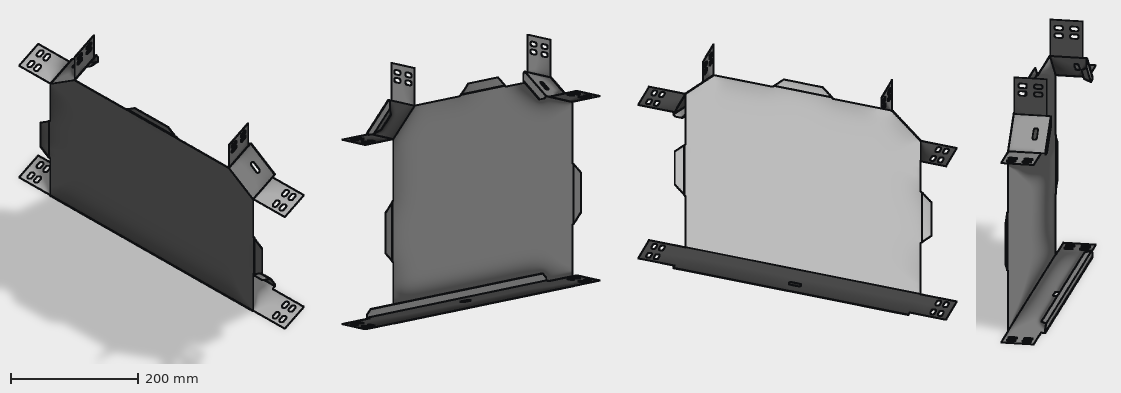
import cadquery as cq
import math

overall_width = 510.5
overall_height = 404.0
overall_depth = 61.0
sheet = 0.75

tab_length = 60.0
tab_width = 52.0
tab_front_gap = 1.0

plate_width = overall_width - 2 * tab_length
plate_height = overall_height - tab_length
corner_cut = 46.5
corner_angle = 45
wall_depth = overall_depth - sheet

lip_height = 13.5
lip_end_straight = 5.0
return_depth = 9.5

slot_width = 7.0
tab_slot_length = 14.0
tab_slot_end_distance = 13.5
tab_slot_pitch_along = 13.0
tab_slot_pitch_across = 25.0
wall_slot_length = 20.5
wall_slot_depth_position = 39.5

hook_base_width = 100.0
hook_height = 18.0
hook_step = 2.5


def make_plate():
    """Flat plate with both upper corners cut at 45 degrees and its front face on Y = 0."""
    half_width = plate_width / 2
    outline = [
        (-half_width, 0),
        (half_width, 0),
        (half_width, plate_height - corner_cut),
        (half_width - corner_cut, plate_height),
        (corner_cut - half_width, plate_height),
        (-half_width, plate_height - corner_cut),
    ]
    return cq.Workplane("XZ").polyline(outline).close().extrude(-sheet)


def make_tab(bend_angle):
    """Slotted tab running along +X from the origin, bent towards -Z."""
    overlap = sheet * math.tan(math.radians(bend_angle / 2))
    tab = cq.Workplane("XY").box(tab_length + overlap, tab_width, sheet, centered=False)
    tab = tab.translate((-overlap, tab_front_gap, 0))
    slots = (
        cq.Workplane("XY")
        .center(
            tab_length - tab_slot_end_distance - tab_slot_pitch_along / 2,
            tab_front_gap + tab_width / 2,
        )
        .rarray(tab_slot_pitch_along, tab_slot_pitch_across, 2, 2)
        .slot2D(tab_slot_length, slot_width, 90)
        .extrude(sheet)
    )
    return tab.cut(slots).rotate((0, 0, 0), (0, 1, 0), bend_angle)


def make_wall(length, tab_bend_angle):
    """Slotted wall along X with its outer face on Z = 0, a hooked back edge and a tab at each end."""
    wall = cq.Workplane("XY").box(length, wall_depth, sheet, centered=(True, False, False))
    slot = (
        cq.Workplane("XY")
        .center(0, wall_slot_depth_position)
        .slot2D(wall_slot_length, slot_width)
        .extrude(sheet)
    )
    wall = wall.cut(slot)

    half_length = length / 2
    half_return = half_length - (lip_height - lip_end_straight)
    lip_outline = [
        (-half_length, 0),
        (half_length, 0),
        (half_length, lip_end_straight),
        (half_return, lip_height),
        (-half_return, lip_height),
        (-half_length, lip_end_straight),
    ]
    lip = (
        cq.Workplane("XZ", origin=(0, wall_depth, 0))
        .polyline(lip_outline)
        .close()
        .extrude(sheet)
    )

    half_return_front = half_return - return_depth
    return_outline = [
        (-half_return, wall_depth),
        (half_return, wall_depth),
        (half_return_front, wall_depth - return_depth),
        (-half_return_front, wall_depth - return_depth),
    ]
    lip_return = (
        cq.Workplane("XY", origin=(0, 0, lip_height - sheet))
        .polyline(return_outline)
        .close()
        .extrude(sheet)
    )

    tab = make_tab(tab_bend_angle).translate((half_length, 0, 0))
    return wall.union(lip).union(lip_return).union(tab).union(tab.mirror("YZ"))


def make_hook():
    """Trapezoidal hook rising along +Z from the origin, stepped one sheet forward of the plate."""

    def trapezoid(bottom, top):
        """Slice of the hook between two heights, its sides leaning in at 45 degrees."""
        half_bottom = hook_base_width / 2 - bottom
        half_top = hook_base_width / 2 - top
        outline = [(-half_bottom, bottom), (half_bottom, bottom), (half_top, top), (-half_top, top)]
        return cq.Workplane("XZ").polyline(outline).close()

    neck = trapezoid(0, hook_step).extrude(-sheet)
    blade = trapezoid(hook_step - sheet, hook_height).extrude(sheet)
    return neck.union(blade)


def turn(body, angle):
    """Turn a body about the Y axis."""
    return body.rotate((0, 0, 0), (0, 1, 0), angle)


plate = make_plate()
bottom_wall = make_wall(plate_width, 0)

corner_length = corner_cut * math.sqrt(2)
corner_wall = turn(make_wall(corner_length, corner_angle), 180 - corner_angle).translate(
    ((corner_cut - plate_width) / 2, 0, plate_height - corner_cut / 2)
)

top_hook = make_hook().translate((0, 0, plate_height))
side_hook = turn(make_hook(), -90).translate((-plate_width / 2, 0, (plate_height - corner_cut) / 2))

result = plate.union(bottom_wall).union(top_hook)
for left_feature in (corner_wall, side_hook):
    result = result.union(left_feature).union(left_feature.mirror("YZ"))